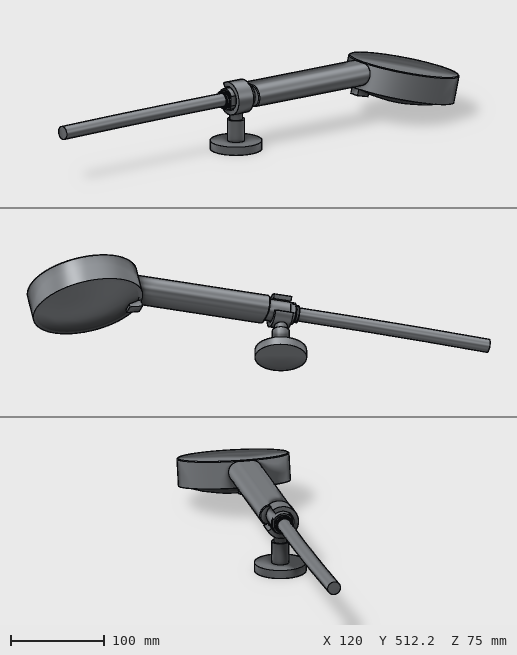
import cadquery as cq
import math


handle_width = 37.0
handle_height = 23.5
handle_flat_width = 11.5
handle_start_y = 17.0
handle_edge_chamfer = 1.0

head_diameter = 120.0
head_height = 31.0
head_tilt = 13.5
head_center_y = 222.0
head_edge_chamfer = 1.0
crown_rise = 1.0
face_rim_width = 4.0
dome_rise = 10.0
lever_width = 12.5
lever_length = 14.5
lever_reach = 59.0
lever_drop = 7.0

nut_diameter = 23.0
nut_end_y = -14.0
nut_flat_width = 20.5
nut_flat_length = 6.0
shoulder_diameter = 19.5
shoulder_length = 1.5
collar_diameter = 16.5
collar_length = 2.5
collar_lip_diameter = 18.5
collar_lip_length = 0.5

hose_diameter = 14.5
hose_end_y = -232.0
hose_end_shift = 4.5

clip_diameter = 36.0
clip_bore_diameter = 25.5
clip_front_y = -9.0
clip_back_y = 10.0
clip_opening_start = 125.0
clip_opening_end = 208.0
neck_diameter = 14.0
post_diameter = 18.5
post_top_z = -24.0
plate_diameter = 55.5
plate_top_z = -47.5
plate_bottom_z = -57.0

head_radius = head_diameter / 2
hose_start_y = nut_end_y - shoulder_length - collar_length - collar_lip_length


def rod_along_y(diameter, y_front, y_back):
    """Round bar on the handle axis from y_back forward to y_front."""
    return cq.Workplane("XZ", origin=(0, y_back, 0)).circle(diameter / 2).extrude(y_back - y_front)


def in_head_position(shape):
    """Tilt a shape built around the head's own axis and move it to the end of the handle."""
    return shape.rotate((0, 0, 0), (1, 0, 0), -head_tilt).translate((0, head_center_y, 0))


def spherical_cap(radius, rise):
    """Solid cap on the local XY plane, bulging along +Z."""
    sphere_radius = (radius**2 + rise**2) / (2 * rise)
    half_angle = math.asin(radius / sphere_radius) / 2
    arc_middle = (
        sphere_radius * math.sin(half_angle),
        rise - sphere_radius * (1 - math.cos(half_angle)),
    )
    return (
        cq.Workplane("XZ")
        .lineTo(radius, 0)
        .threePointArc(arc_middle, (0, rise))
        .close()
        .revolve(360, (0, 0, 0), (0, 1, 0))
    )


def head_drum(top):
    """Head cylinder around the local Z axis, from its lower rim up to the given height."""
    return cq.Workplane("XY", origin=(0, 0, top)).circle(head_radius).extrude(-head_height - top)


def make_head():
    """Drum whose crown peaks at the local origin."""
    drum = head_drum(-crown_rise).faces(">Z").edges().chamfer(head_edge_chamfer)
    crown = spherical_cap(head_radius - head_edge_chamfer, crown_rise).translate((0, 0, -crown_rise))
    dome = spherical_cap(head_radius - face_rim_width, dome_rise)
    dome = dome.mirror("XY").translate((0, 0, -head_height))
    lever_height = lever_drop + head_height / 4
    lever = cq.Workplane("XY").box(lever_width, lever_length, lever_height).translate(
        (0, lever_length / 2 - lever_reach, lever_height / 2 - head_height - lever_drop)
    )
    return in_head_position(drum.union(crown).union(dome).union(lever))


def make_handle():
    """Oval bar that ends against the wall of the head."""
    head_space = head_drum(handle_height + head_radius)
    half_width = handle_width / 2
    half_height = handle_height / 2
    half_flat = handle_flat_width / 2
    section = (
        cq.Workplane("XZ", origin=(0, handle_start_y, 0))
        .moveTo(-half_flat, half_height)
        .lineTo(half_flat, half_height)
        .threePointArc((half_width, 0), (half_flat, -half_height))
        .lineTo(-half_flat, -half_height)
        .threePointArc((-half_width, 0), (-half_flat, half_height))
        .close()
    )
    bar = section.extrude(handle_start_y - head_center_y)
    bar = bar.faces("<Y").edges().chamfer(handle_edge_chamfer)
    return bar.cut(in_head_position(head_space))


def make_nut():
    """Round nut with two flats near its end, followed by a stepped collar."""
    nut = rod_along_y(nut_diameter, nut_end_y, handle_start_y)
    flats = (
        cq.Workplane("XZ", origin=(0, nut_end_y + nut_flat_length, 0))
        .rect(nut_flat_width, nut_diameter)
        .extrude(nut_flat_length)
    )
    flat_zone = rod_along_y(nut_diameter, nut_end_y, nut_end_y + nut_flat_length)
    nut = nut.cut(flat_zone.cut(flats))
    step_start_y = nut_end_y
    for diameter, length in (
        (shoulder_diameter, shoulder_length),
        (collar_diameter, collar_length),
        (collar_lip_diameter, collar_lip_length),
    ):
        nut = nut.union(rod_along_y(diameter, step_start_y - length, step_start_y))
        step_start_y -= length
    return nut


def make_hose():
    """Round hose on an arc that leaves the nut straight along -Y."""
    length = hose_start_y - hose_end_y
    bend_radius = (length**2 + hose_end_shift**2) / (2 * hose_end_shift)
    bend_angle = math.degrees(math.asin(length / bend_radius))
    return (
        cq.Workplane("XZ", origin=(0, hose_start_y, 0))
        .circle(hose_diameter / 2)
        .revolve(bend_angle, (bend_radius, 0, 0), (bend_radius, 1, 0))
    )


def make_clip():
    """Ring around the nut, open on the upper -X side, with the neck below it."""
    ring = rod_along_y(clip_diameter, clip_front_y, clip_back_y)
    neck = (
        cq.Workplane("XY", origin=(0, 0, post_top_z))
        .circle(neck_diameter / 2)
        .extrude(-post_top_z)
    )
    reach = clip_diameter
    opening_corners = [
        (reach * math.cos(math.radians(angle)), reach * math.sin(math.radians(angle)))
        for angle in (clip_opening_start, clip_opening_end)
    ]
    opening = (
        cq.Workplane("XZ", origin=(0, clip_back_y, 0))
        .polyline([(0, 0), *opening_corners])
        .close()
        .extrude(clip_back_y - clip_front_y)
    )
    bore = rod_along_y(clip_bore_diameter, clip_front_y, clip_back_y)
    return ring.union(neck).cut(opening).cut(bore)


def make_wall_mount():
    """Round wall plate with the post standing on it."""
    plate = (
        cq.Workplane("XY", origin=(0, 0, plate_bottom_z))
        .circle(plate_diameter / 2)
        .extrude(plate_top_z - plate_bottom_z)
    )
    post = (
        cq.Workplane("XY", origin=(0, 0, plate_top_z))
        .circle(post_diameter / 2)
        .extrude(post_top_z - plate_top_z)
    )
    return plate.union(post)


head = make_head()
handle = make_handle()
nut = make_nut()
hose = make_hose()
clip = make_clip()
wall_mount = make_wall_mount()

result = cq.Compound.makeCompound(
    [head.val(), handle.val(), nut.val(), hose.val(), clip.val(), wall_mount.val()]
)